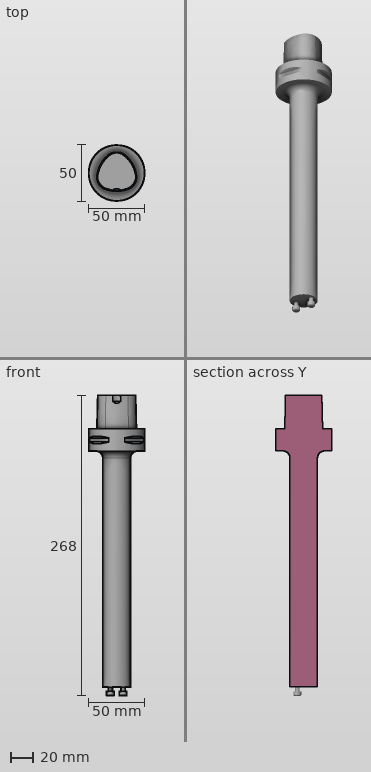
import cadquery as cq
import math


shank_length = 30.0
shank_taper = 1 / 20
lobe_count = 3
lobe_pitch = 360 / lobe_count
first_lobe_angle = 90.0
lobe_radius = 11.7
lobe_centre_distance = 7.0
side_distance = 16.3

side_step = side_distance - lobe_radius
side_centre_distance = (lobe_centre_distance**2 - side_step**2) / (2 * side_step - lobe_centre_distance)
side_radius = side_distance + side_centre_distance
centre_spacing = side_centre_distance + side_step
lobe_centre_offset = lobe_centre_distance * math.sin(math.radians(lobe_pitch / 2))
side_half_angle = math.degrees(math.asin(lobe_centre_offset / centre_spacing))

notch_diameter = 9.5
notch_axis_y = -18.7
notch_straight_depth = 5.4
notch_point_depth = 5.5

flange_diameter = 50.0
flange_thickness = 20.0
groove_floor_distance = 21.9
groove_floor_width = 3.4
groove_flank_angle = 30.0
groove_cutter_reach = 26.0
groove_count = 4
groove_first_angle = 45.0

bar_diameter = 25.0
bar_fillet_radius = 6.0
bar_end_z = -230.0

screw_neck_diameter = 4.0
screw_neck_length = 4.0
screw_head_diameter = 7.0
screw_head_height = 4.0
screw_head_chamfer = 0.7
screw_offset = 5.65


def polar(distance, angle, z):
    """Point at a distance from the part axis, at an angle in degrees and height z."""
    return cq.Vector(
        distance * math.cos(math.radians(angle)),
        distance * math.sin(math.radians(angle)),
        z,
    )


def shank_outline(inset, z):
    """Outline at height z, moved inwards everywhere by the inset."""

    def lobe_tip(lobe_angle):
        return polar(lobe_centre_distance + lobe_radius - inset, lobe_angle, z)

    def side_point(side_angle, normal_angle):
        centre = polar(-side_centre_distance, side_angle, z)
        return centre + polar(side_radius - inset, normal_angle, 0)

    edges = []
    for index in range(lobe_count):
        lobe_angle = first_lobe_angle + index * lobe_pitch
        last_side = lobe_angle - lobe_pitch / 2
        next_side = lobe_angle + lobe_pitch / 2
        lobe_start = side_point(last_side, last_side + side_half_angle)
        side_start = side_point(next_side, next_side - side_half_angle)
        side_middle = side_point(next_side, next_side)
        side_end = side_point(next_side, next_side + side_half_angle)
        edges.append(cq.Edge.makeThreePointArc(lobe_start, lobe_tip(lobe_angle), side_start))
        edges.append(cq.Edge.makeThreePointArc(side_start, side_middle, side_end))
    return cq.Wire.assembleEdges(edges)


def make_shank():
    """Tapered polygon shank, smaller at its free end."""
    end_inset = shank_taper * shank_length / 2
    outlines = [shank_outline(0, 0), shank_outline(end_inset, shank_length)]
    return cq.Workplane(cq.Solid.makeLoft(outlines, True))


def make_notch():
    """Vertical drilling with a conical bottom, open towards -Y."""
    radius = notch_diameter / 2
    shoulder_z = shank_length - notch_straight_depth
    return (
        cq.Workplane("XZ")
        .moveTo(0, shank_length)
        .lineTo(radius, shank_length)
        .lineTo(radius, shoulder_z)
        .lineTo(0, shoulder_z - notch_point_depth)
        .close()
        .revolve(360, (0, 0, 0), (0, 1, 0))
        .translate((0, notch_axis_y, 0))
    )


def make_flange_and_bar():
    """Flange blending into the bar through a concave fillet."""
    flange_radius = flange_diameter / 2
    bar_radius = bar_diameter / 2
    return (
        cq.Workplane("XZ")
        .lineTo(flange_radius, 0)
        .lineTo(flange_radius, -flange_thickness)
        .lineTo(bar_radius + bar_fillet_radius, -flange_thickness)
        .radiusArc((bar_radius, -flange_thickness - bar_fillet_radius), -bar_fillet_radius)
        .lineTo(bar_radius, bar_end_z)
        .lineTo(0, bar_end_z)
        .close()
        .revolve(360, (0, 0, 0), (0, 1, 0))
    )


def make_groove(angle):
    """Straight groove with sloping flanks, cut across the flange rim at the given angle."""
    floor_half = groove_floor_width / 2
    cutter_depth = groove_cutter_reach - groove_floor_distance
    flank_rise = cutter_depth * math.tan(math.radians(groove_flank_angle))
    outer_half = floor_half + flank_rise
    profile = [
        (groove_floor_distance, floor_half),
        (groove_cutter_reach, outer_half),
        (groove_cutter_reach, -outer_half),
        (groove_floor_distance, -floor_half),
    ]
    return (
        cq.Workplane("XZ")
        .polyline(profile)
        .close()
        .extrude(flange_diameter / 2, both=True)
        .translate((0, 0, -flange_thickness / 2))
        .rotate((0, 0, 0), (0, 0, 1), angle)
    )


def make_screw(x, y):
    """Screw end with a slim neck below the bar and a chamfered head."""
    head_top_z = bar_end_z - screw_neck_length
    neck = cq.Workplane("XY").circle(screw_neck_diameter / 2).extrude(-screw_neck_length)
    head = (
        cq.Workplane("XY")
        .circle(screw_head_diameter / 2)
        .extrude(-screw_head_height)
        .faces("<Z")
        .chamfer(screw_head_chamfer)
    )
    return neck.translate((x, y, bar_end_z)).union(head.translate((x, y, head_top_z)))


result = make_flange_and_bar().union(make_shank()).cut(make_notch())

for index in range(groove_count):
    result = result.cut(make_groove(groove_first_angle + index * 360 / groove_count))

for side in (-1, 1):
    result = result.union(make_screw(side * screw_offset, -side * screw_offset))